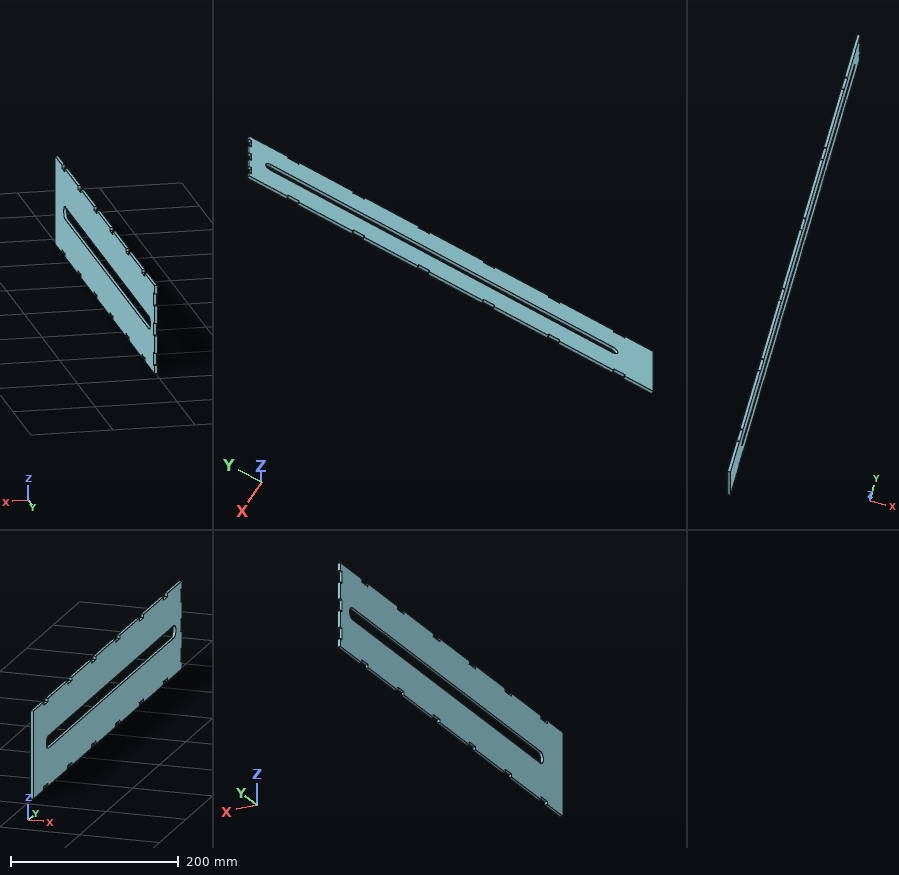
import cadquery as cq

thickness = 4.0
length = 560.0
height = 110.0

notch_width = 15.0
notch_depth = thickness
long_edge_notch_count = 6
long_edge_notch_pitch = 90.0
first_notch_offset = 62.0
end_notch_count = 3
end_notch_pitch = 37.0

slot_width = 15.0
slot_length = 487.0
slot_end_offset = 23.5

notched_end_y = length / 2
top_z = height / 2


def notch_cutter(y, z, size_y, size_z):
    """Block through the plate, centred on an edge so half of it cuts."""
    return cq.Workplane("XY").box(2 * thickness, size_y, size_z).translate((0, y, z))


plate = cq.Workplane("XY").box(thickness, length, height)

for index in range(long_edge_notch_count):
    notch_y = notched_end_y - first_notch_offset - index * long_edge_notch_pitch
    for edge_z in (top_z, -top_z):
        plate = plate.cut(notch_cutter(notch_y, edge_z, notch_width, 2 * notch_depth))

for index in range(end_notch_count):
    notch_z = (index - (end_notch_count - 1) / 2) * end_notch_pitch
    plate = plate.cut(notch_cutter(notched_end_y, notch_z, 2 * notch_depth, notch_width))

slot_center_y = notched_end_y - slot_end_offset - slot_length / 2
slot_cutter = (
    cq.Workplane("YZ")
    .center(slot_center_y, 0)
    .slot2D(slot_length, slot_width)
    .extrude(thickness, both=True)
)

result = plate.cut(slot_cutter)